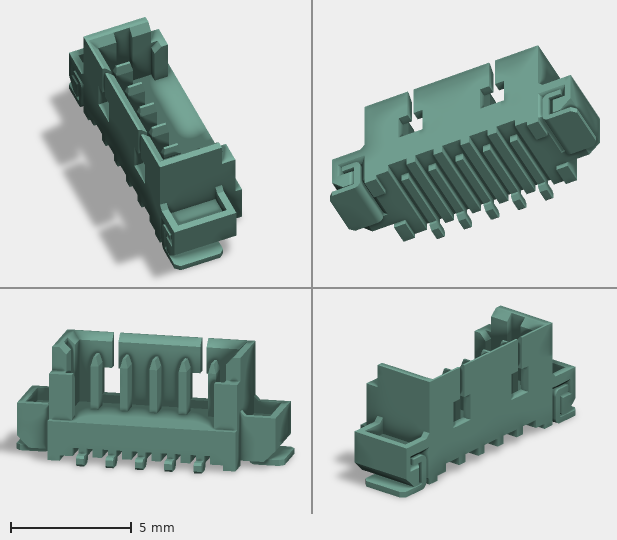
import cadquery as cq


contact_count = 5
pitch = 1.25
contact_thickness = 0.33
post_front = 0.75
post_back = 1.53
post_top = 4.0
tip_height = 0.4
tip_thickness = 0.11
tip_edge_inset = 0.08
leg_bottom = 0.3
solder_front = 3.4
solder_back = 4.2
solder_top = 0.45
solder_lead_in = 0.18
solder_end_chamfer = 0.1

body_length = 8.0
body_top = 4.7
body_bottom = 0.3
wall_depth = 2.8
hook_depth = 3.4
hook_top = 3.7
floor_depth = 3.7
floor_top = 1.75
side_wall = 0.3
front_lip = 0.1
guide_thickness = 0.3
guide_chamfer_height = guide_thickness
guide_gap_front = 1.23
guide_gap_back = 1.95
rear_opening_length = 6.06
hook_chamfer_size = 0.3

latch_slot_spacing = 3 * pitch
latch_slot_width = 0.27
window_width = 1.11
window_bottom = 2.1
window_top = 3.27

foot_length = 0.52
foot_depth = floor_depth - wall_depth
foot_bottom = 0.07
comb_slot_width = 0.85
comb_slot_top = 0.66

wing_end = 5.5
wing_top = 2.2
wing_corner_chamfer = 0.2
wing_bottom_chamfer = 0.5
pocket_wall = 0.3
pocket_floor = 1.67

tab_thickness = 0.27
tab_inner_face = 4.21
tab_arm_end = 5.03
tab_arm_top = 1.545
tab_foot_thickness = 0.25
tab_foot_end = 5.7
tab_depth = 2.2
tab_outer_radius = 0.27
tab_inner_radius = 0.06
tab_corner_chamfer = 0.2
groove_bevel = 0.21

half_length = body_length / 2
contact_places = [(i - (contact_count - 1) / 2) * pitch for i in range(contact_count)]


def box(x_min, x_max, y_min, y_max, z_min, z_max):
    """Box between the given limits."""
    return (
        cq.Workplane("XY")
        .box(x_max - x_min, y_max - y_min, z_max - z_min, centered=False)
        .translate((x_min, y_min, z_min))
    )


def along_y(points, y_min, y_max):
    """Prism of an XZ outline between two Y places."""
    return (
        cq.Workplane("XZ", origin=(0, y_min, 0)).polyline(points).close().extrude(y_min - y_max)
    )


def along_x(points, x_min, x_max):
    """Prism of a YZ outline between two X places."""
    return cq.Workplane("YZ", origin=(x_min, 0, 0)).polyline(points).close().extrude(x_max - x_min)


def both_ends(solid):
    """The solid together with its mirror image about X = 0."""
    return solid.union(solid.mirror("YZ"))




def make_contact(x):
    """Contact blade at one X place, tapering to a thin tip at the top of its post."""
    shoulder = post_top - tip_height
    blade = along_x(
        [
            (post_front, leg_bottom),
            (solder_front, leg_bottom),
            (solder_front, solder_lead_in),
            (solder_front + solder_lead_in, 0),
            (solder_back - solder_end_chamfer, 0),
            (solder_back, solder_end_chamfer),
            (solder_back, solder_top - solder_end_chamfer),
            (solder_back - solder_end_chamfer, solder_top),
            (floor_depth, solder_top),
            (floor_depth, comb_slot_top),
            (post_back, comb_slot_top),
            (post_back, shoulder),
            (post_front, shoulder),
        ],
        -contact_thickness / 2,
        contact_thickness / 2,
    )
    post_width = post_back - post_front
    tip = (
        cq.Workplane("XY", origin=(0, (post_front + post_back) / 2, shoulder))
        .rect(contact_thickness, post_width)
        .workplane(offset=tip_height)
        .rect(tip_thickness, post_width - 2 * tip_edge_inset)
        .loft(ruled=True)
    )
    return blade.union(tip).translate((x, 0, 0))




def make_tab():
    """Constant strip section along Y, with rounded bends and cut foot corners."""
    web_outer = -tab_inner_face - tab_thickness
    strip = along_y(
        [
            (-tab_arm_end, tab_arm_top),
            (-tab_inner_face, tab_arm_top),
            (-tab_inner_face, 0),
            (-tab_foot_end, 0),
            (-tab_foot_end, tab_foot_thickness),
            (web_outer, tab_foot_thickness),
            (web_outer, tab_arm_top - tab_thickness),
            (-tab_arm_end, tab_arm_top - tab_thickness),
        ],
        0,
        tab_depth,
    )
    strip = strip.edges("|Y").edges(">X").fillet(tab_outer_radius)
    inner_bend = cq.selectors.NearestToPointSelector((web_outer, tab_depth / 2, tab_foot_thickness))
    strip = strip.edges("|Y").edges(inner_bend).fillet(tab_inner_radius)
    return strip.edges("|Z").edges("<X").chamfer(tab_corner_chamfer)




def make_shell():
    """Stepped outer block with its mating cavity, open at the top and at the middle of the back."""
    block = along_x(
        [
            (0, body_bottom),
            (floor_depth, body_bottom),
            (floor_depth, floor_top),
            (hook_depth, floor_top),
            (hook_depth, hook_top),
            (wall_depth, hook_top),
            (wall_depth, body_top),
            (0, body_top),
        ],
        -half_length,
        half_length,
    )
    wall_face = half_length - side_wall
    guide_face = wall_face - guide_thickness
    cavity_front = front_lip + guide_thickness
    cavity = box(-guide_face, guide_face, cavity_front, wall_depth, floor_top, body_top)
    guide_gaps = box(-wall_face, wall_face, guide_gap_front, guide_gap_back, floor_top, body_top)
    rear_opening = box(
        -rear_opening_length / 2, rear_opening_length / 2, wall_depth, floor_depth, floor_top, body_top
    )
    chamfer_bottom = body_top - guide_chamfer_height
    side_lead_in = along_y(
        [
            (-guide_face, chamfer_bottom),
            (guide_face, chamfer_bottom),
            (wall_face, body_top),
            (-wall_face, body_top),
        ],
        front_lip,
        wall_depth,
    )
    front_lead_in = along_x(
        [
            (cavity_front, chamfer_bottom),
            (wall_depth, chamfer_bottom),
            (wall_depth, body_top),
            (front_lip, body_top),
        ],
        -wall_face,
        wall_face,
    )
    lead_in = side_lead_in.intersect(front_lead_in)
    hook_chamfer = along_x(
        [
            (wall_depth, hook_top - hook_chamfer_size),
            (wall_depth + hook_chamfer_size, hook_top),
            (wall_depth, hook_top),
        ],
        -guide_face,
        guide_face,
    )
    return block.cut(cavity).cut(guide_gaps).cut(rear_opening).cut(lead_in).cut(hook_chamfer)


def make_latch_openings():
    """Two slots down the front wall, each ending in a wider window."""
    middle = latch_slot_spacing / 2
    wall_back = front_lip + guide_thickness
    slot = box(
        middle - latch_slot_width / 2, middle + latch_slot_width / 2, 0, wall_back, window_top, body_top
    )
    window = box(
        middle - window_width / 2, middle + window_width / 2, 0, wall_back, window_bottom, window_top
    )
    return both_ends(slot.union(window))


def make_feet():
    """Four pads under the corners of the block."""
    foot_x = (-half_length, -half_length + foot_length)
    front_foot = box(*foot_x, 0, foot_depth, foot_bottom, body_bottom)
    rear_foot = box(*foot_x, wall_depth, floor_depth, foot_bottom, body_bottom)
    return both_ends(front_foot).union(both_ends(rear_foot))


def make_comb_slot(x):
    """Clearance slot under one contact, from front to back."""
    half_width = comb_slot_width / 2
    return box(x - half_width, x + half_width, 0, floor_depth, body_bottom, comb_slot_top)


def groove_points(gap):
    """Outline of the tab groove, wider than the tab's square-cornered section by a gap."""
    web_outer = -tab_inner_face - tab_thickness - gap
    arm_bottom = tab_arm_top - tab_thickness - gap
    return [
        (-tab_arm_end - gap, tab_arm_top + gap),
        (-tab_inner_face + gap, tab_arm_top + gap),
        (-tab_inner_face + gap, body_bottom),
        (web_outer, body_bottom),
        (web_outer, arm_bottom),
        (-tab_arm_end - gap, arm_bottom),
    ]


def make_tab_groove():
    """Blind groove for the tab, bevelled where it opens at the front and underneath."""
    groove = along_y(groove_points(0), 0, tab_depth)
    front_bevel = (
        cq.Workplane("XZ")
        .polyline(groove_points(groove_bevel))
        .close()
        .workplane(offset=-groove_bevel)
        .polyline(groove_points(0))
        .close()
        .loft(ruled=True)
    )
    web_outer = -tab_inner_face - tab_thickness
    bottom_bevel = along_y(
        [
            (web_outer - groove_bevel, body_bottom),
            (-tab_inner_face + groove_bevel, body_bottom),
            (-tab_inner_face, body_bottom + groove_bevel),
            (web_outer, body_bottom + groove_bevel),
        ],
        0,
        tab_depth,
    )
    return groove.union(front_bevel).union(bottom_bevel)


def make_wing():
    """Wing at the -X end, with a pocket in its top and the groove for the solder tab."""
    wing = along_y(
        [
            (-half_length, body_bottom),
            (-wing_end + wing_bottom_chamfer, body_bottom),
            (-wing_end, body_bottom + wing_bottom_chamfer),
            (-wing_end, wing_top),
            (-half_length - wing_corner_chamfer, wing_top),
            (-half_length, wing_top + wing_corner_chamfer),
        ],
        0,
        wall_depth,
    )
    pocket = box(
        -wing_end + pocket_wall,
        -half_length,
        pocket_wall,
        wall_depth - pocket_wall,
        pocket_floor,
        wing_top + wing_corner_chamfer,
    )
    return wing.cut(pocket).cut(make_tab_groove())


def make_housing(contacts):
    """Shell, feet and wings, with a slot and a fitted hole for each contact."""
    housing = make_shell().cut(make_latch_openings()).union(make_feet()).union(both_ends(make_wing()))
    for x in contact_places:
        housing = housing.cut(make_comb_slot(x))
    for contact in contacts:
        housing = housing.cut(contact)
    return housing


contacts = [make_contact(x) for x in contact_places]
left_tab = make_tab()
tabs = [left_tab, left_tab.mirror("YZ")]
housing = make_housing(contacts)

result = cq.Compound.makeCompound(
    [housing.val(), *[contact.val() for contact in contacts], *[tab.val() for tab in tabs]]
)